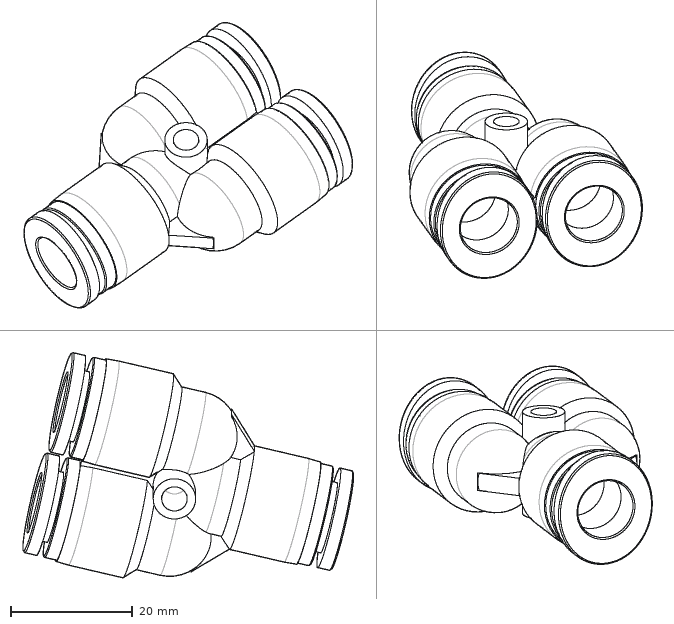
import cadquery as cq

BRANCH_OFFSET = 9.0
BRANCH_END = 18.05
TRUNK_END = 24.95

RIM_DIA = 16.9
RIM_LENGTH = 2.2
COLLAR_DIA = 17.35
COLLAR_LENGTH = 2.1
BODY_DIA = 17.6
BODY_LENGTH = 9.25
SHOULDER_LENGTH = 1.85
NECK_DIA = 14.0
BRANCH_NECK_LENGTH = 4.05
TRUNK_NECK_LENGTH = 2.7
RIM_CHAMFER = 0.2
SHOULDER_START = RIM_LENGTH + COLLAR_LENGTH + BODY_LENGTH
NECK_START = SHOULDER_START + SHOULDER_LENGTH

FLANGE_WIDTH = 16.6
FLANGE_HEIGHT = 19.0
FLANGE_THICKNESS = 2.25
FLANGE_CHAMFER = 0.25
COLLET_GAP = 1.25
SLEEVE_DIA = 11.9
SLEEVE_DEPTH = 2.2
BORE_DIA = 9.75
BORE_CHAMFER = 0.25
BORE_DEPTH = 10.0

POST_DIA = 7.0
POST_HOLE_DIA = 4.2
POST_HEIGHT = 17.5
WEB_THICKNESS = 3.0
GUSSET_OUTER_X = 14.1
GUSSET_OUTER_Y = -6.25

PORTS = [
    (-BRANCH_OFFSET, BRANCH_END, 1, BRANCH_NECK_LENGTH),
    (BRANCH_OFFSET, BRANCH_END, 1, BRANCH_NECK_LENGTH),
    (0, -TRUNK_END, -1, TRUNK_NECK_LENGTH),
]


def face_plane(x, face_y, outward):
    """Plane on a socket's outer face, its normal pointing out of the socket."""
    return cq.Plane(origin=(x, face_y, 0), xDir=(1, 0, 0), normal=(0, outward, 0))


def make_socket(x, face_y, outward, neck_length):
    """Solid stepped socket ending in a domed neck."""
    dome_start = NECK_START + neck_length
    dome_radius = NECK_DIA / 2
    dome_middle = dome_radius * 0.5 ** 0.5
    collar_end = RIM_LENGTH + COLLAR_LENGTH
    profile = (
        cq.Workplane("XY")
        .moveTo(0, 0)
        .lineTo(RIM_DIA / 2 - RIM_CHAMFER, 0)
        .lineTo(RIM_DIA / 2, -RIM_CHAMFER)
        .lineTo(RIM_DIA / 2, -RIM_LENGTH)
        .lineTo(COLLAR_DIA / 2, -RIM_LENGTH)
        .lineTo(BODY_DIA / 2, -collar_end)
        .lineTo(BODY_DIA / 2, -SHOULDER_START)
        .lineTo(dome_radius, -NECK_START)
        .lineTo(dome_radius, -dome_start)
        .threePointArc((dome_middle, -dome_start - dome_middle), (0, -dome_start - dome_radius))
        .close()
    )
    socket = profile.revolve(360, (0, 0, 0), (0, 1, 0))
    if outward < 0:
        socket = socket.rotate((0, 0, 0), (0, 0, 1), 180)
    return socket.translate((x, face_y, 0))


def make_web():
    """Flat web filling the space between the branches and forming the two gussets."""
    web_top = BRANCH_END - RIM_LENGTH
    shoulder_bottom = SHOULDER_START - TRUNK_END
    return (
        cq.Workplane("XY")
        .polyline([
            (-BRANCH_OFFSET, web_top),
            (BRANCH_OFFSET, web_top),
            (BRANCH_OFFSET, GUSSET_OUTER_Y),
            (GUSSET_OUTER_X, GUSSET_OUTER_Y),
            (BODY_DIA / 2, shoulder_bottom),
            (-BODY_DIA / 2, shoulder_bottom),
            (-GUSSET_OUTER_X, GUSSET_OUTER_Y),
            (-BRANCH_OFFSET, GUSSET_OUTER_Y),
        ])
        .close()
        .extrude(WEB_THICKNESS / 2, both=True)
    )


def make_housing():
    """Y-shaped housing with a collet recess and a deeper blind tube bore in each socket."""
    housing = make_web()
    for port in PORTS:
        housing = housing.union(make_socket(*port))
    post = cq.Workplane("XY").circle(POST_DIA / 2).extrude(POST_HEIGHT / 2, both=True)
    housing = housing.union(post)
    post_hole = cq.Workplane("XY").circle(POST_HOLE_DIA / 2).extrude(POST_HEIGHT / 2, both=True)
    housing = housing.cut(post_hole)
    for x, face_y, outward, _ in PORTS:
        plane = face_plane(x, face_y, outward)
        recess = cq.Workplane(plane).circle(SLEEVE_DIA / 2).extrude(-SLEEVE_DEPTH)
        tube_bore = cq.Workplane(plane).circle(BORE_DIA / 2).extrude(-BORE_DEPTH)
        housing = housing.cut(recess).cut(tube_bore)
    return housing


def make_collet(x, face_y, outward):
    """Release collet: a sleeve with an oval flange and a bore right through."""
    plane = face_plane(x, face_y, outward)
    flange = (
        cq.Workplane(plane)
        .workplane(offset=COLLET_GAP)
        .ellipse(FLANGE_WIDTH / 2, FLANGE_HEIGHT / 2)
        .extrude(FLANGE_THICKNESS)
        .faces(cq.selectors.DirectionMinMaxSelector(cq.Vector(0, outward, 0), True))
        .chamfer(FLANGE_CHAMFER)
    )
    sleeve = (
        cq.Workplane(plane)
        .workplane(offset=-SLEEVE_DEPTH)
        .circle(SLEEVE_DIA / 2)
        .extrude(SLEEVE_DEPTH + COLLET_GAP)
    )
    outer_face = COLLET_GAP + FLANGE_THICKNESS
    bore = (
        cq.Workplane(plane)
        .workplane(offset=-SLEEVE_DEPTH)
        .circle(BORE_DIA / 2)
        .extrude(SLEEVE_DEPTH + outer_face)
    )
    mouth = (
        cq.Workplane(plane)
        .workplane(offset=outer_face - BORE_CHAMFER)
        .circle(BORE_DIA / 2)
        .workplane(offset=BORE_CHAMFER)
        .circle(BORE_DIA / 2 + BORE_CHAMFER)
        .loft()
    )
    return flange.union(sleeve).cut(bore).cut(mouth)


housing = make_housing()
collets = [make_collet(x, face_y, outward) for x, face_y, outward, _ in PORTS]

result = cq.Compound.makeCompound([housing.val(), *[collet.val() for collet in collets]])